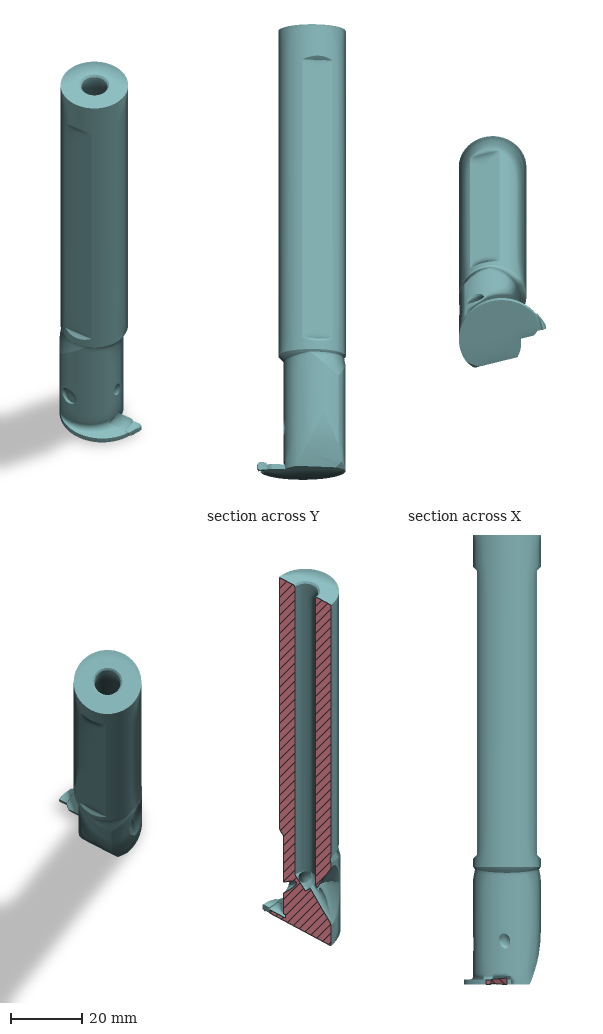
import cadquery as cq
import math

total_height = 127.0
shank_radius = 9.5
shank_bottom = 33.5
shank_chamfer_drop = 0.6
shank_chamfer_inset = 0.5
flat_distance = 8.5
flat_bottom = 37.0
flat_top = 117.0
bore_radius = 3.7
bore_bottom = 19.7
bore_tip = 15.9
bore_chamfer = 0.5

head_bottom = 0.4
head_radius = 12.1
head_center_x = 2.7
neck_radius = 9.5
neck_center_x = -1.5
blade_thickness = 1.5
blade_back = 1.1
blade_back_corner = 1.3
blade_fillet = 0.9

shoulder_top = shank_bottom - shank_chamfer_drop
shoulder_radius = shank_radius - shank_chamfer_inset
shoulder_taper = 0.2
shoulder_step = 1.3

relief_radius = 38.1
relief_start = 15.6
bevel_point = (-8.6, 4.1, head_bottom)
bevel_normal = (-0.7, 0.9, -1.0)

window_z = 19.4
window_y = -1.0
window_radius = 4.6
window_upper_angle = 27.0
window_lower_angle = 23.5
window_drill_overrun = 12.7

window_hole_radius = 1.5
window_hole_entry = (-12.2, 0.6, 7.6)
window_hole_end = (-2.0, -0.8, 19.7)
side_hole_radius = 1.5
side_hole_entry = (8.0, -0.6, 12.7)
side_hole_end = (0.6, -2.0, 19.7)

front_hole_radius = 2.5
front_hole_entry = (-2.7, -9.5, 12.0)
front_hole_direction = (0.2, 1.0, -0.3)
front_hole_depth = 1.9

insert_back_x = 13.1
insert_tip_x = 15.6
insert_length = 4.5
insert_land = 0.9
insert_foot_x = 14.2
insert_top = 2.4
insert_point_x = 14.7
insert_corner = 0.5
insert_relief_angle = 5.0

seat_front_y = -4.0
seat_inner_x = 7.4
seat_drop = 0.1
seat_clearance = 0.9

blade_top = head_bottom + blade_thickness
reach = 50.8


def cylinder_at(x, y, z, radius, height):
    return cq.Workplane("XY", origin=(x, y, z)).circle(radius).extrude(height)


def drilling(start, direction, radius, length):
    return cq.Workplane(cq.Solid.makeCylinder(radius, length, cq.Vector(*start), cq.Vector(*direction)))


def box_between(low, high):
    size = [b - a for a, b in zip(low, high)]
    return cq.Workplane("XY", origin=low).box(*size, centered=False)


def make_shank():
    profile = [
        (0, shoulder_top),
        (shoulder_radius, shoulder_top),
        (shank_radius, shank_bottom),
        (shank_radius, total_height),
        (0, total_height),
    ]
    shank = cq.Workplane("XZ").polyline(profile).close().revolve(360, (0, 0), (0, 1))
    depth = shank_radius - flat_distance
    for side in (-1, 1):
        flat_section = [
            (side * flat_distance, flat_bottom),
            (side * shank_radius, flat_bottom - depth),
            (side * shank_radius, flat_top + depth),
            (side * flat_distance, flat_top),
        ]
        cutter = cq.Workplane("YZ").polyline(flat_section).close().extrude(shank_radius, both=True)
        shank = shank.cut(cutter)
    return shank


def make_blade():
    half_width = head_center_x + head_radius
    disc = cylinder_at(head_center_x, 0, head_bottom, head_radius, blade_thickness)
    back_corner_x = insert_back_x - blade_back_corner
    outline = [
        (-half_width, -half_width),
        (half_width, -half_width),
        (half_width, -insert_length),
        (insert_back_x, -insert_length),
        (insert_back_x, 0),
        (back_corner_x, blade_back),
        (-half_width, blade_back),
    ]
    plan = cq.Workplane("XY").polyline(outline).close().extrude(total_height)
    return disc.intersect(plan)


def make_foot_fillet():
    """Concave ring where the neck meets the blade."""
    outer = neck_radius + blade_fillet
    ring = (
        cq.Workplane("XZ", origin=(neck_center_x, 0, 0))
        .moveTo(0, blade_top)
        .lineTo(outer, blade_top)
        .radiusArc((neck_radius, blade_top + blade_fillet), blade_fillet)
        .lineTo(0, blade_top + blade_fillet)
        .close()
        .revolve(360, (0, 0), (0, 1))
    )
    front = box_between((-reach, -reach, 0), (reach, 0, reach))
    return ring.intersect(front).intersect(cylinder_at(head_center_x, 0, 0, head_radius, reach))


def make_head():
    height = shoulder_top - head_bottom
    head = cylinder_at(head_center_x, 0, head_bottom, head_radius, height)
    head = head.intersect(cylinder_at(neck_center_x, 0, head_bottom, neck_radius, height))
    taper_profile = [
        (0, head_bottom),
        (shoulder_radius + shoulder_taper * height, head_bottom),
        (shoulder_radius, shoulder_top),
        (0, shoulder_top),
    ]
    head = head.intersect(cq.Workplane("XZ").polyline(taper_profile).close().revolve(360, (0, 0), (0, 1)))
    step_profile = [
        (0, shoulder_top - shoulder_step),
        (shoulder_radius - shoulder_step, shoulder_top - shoulder_step),
        (shoulder_radius, shoulder_top),
        (0, shoulder_top),
    ]
    step = cq.Workplane("XZ").polyline(step_profile).close().revolve(360, (0, 0), (0, 1))
    return head.union(step)


def cut_back_relief(head):
    drop = relief_radius - math.sqrt(relief_radius**2 - relief_start**2)
    outer_y = shank_radius + 1.3
    cutter = (
        cq.Workplane("YZ")
        .moveTo(shank_radius, relief_start)
        .radiusArc((shank_radius - drop, 0), relief_radius)
        .lineTo(outer_y, 0)
        .lineTo(outer_y, relief_start)
        .close()
        .extrude(reach, both=True)
    )
    return head.cut(cutter)


def bevel_lower_corner(head):
    plane = cq.Plane(origin=bevel_point, normal=bevel_normal)
    return head.cut(cq.Workplane(plane).rect(reach, reach).extrude(reach))


def cut_window(holder):
    left_x = head_center_x - head_radius
    for side, angle in ((1, window_upper_angle), (-1, window_lower_angle)):
        step_x = -math.sin(math.radians(angle))
        step_z = side * math.cos(math.radians(angle))
        start_x = left_x - window_drill_overrun * step_x
        start_z = window_z - window_drill_overrun * step_z
        slanted = drilling((start_x, window_y, start_z), (step_x, 0, step_z), window_radius, reach)
        low = min(window_z, window_z + side * reach)
        half = box_between((-reach, -reach, low), (reach, reach, low + reach))
        holder = holder.cut(slanted.intersect(half))
    return holder


def cut_bore(holder):
    profile = [
        (0, bore_tip),
        (bore_radius, bore_bottom),
        (bore_radius, total_height - bore_chamfer),
        (bore_radius + bore_chamfer, total_height),
        (0, total_height),
    ]
    return holder.cut(cq.Workplane("XZ").polyline(profile).close().revolve(360, (0, 0), (0, 1)))


def cut_front_hole(holder):
    inward = cq.Vector(*front_hole_direction).normalized()
    start = cq.Vector(*front_hole_entry) - inward * front_hole_depth
    return holder.cut(drilling(start.toTuple(), inward.toTuple(), front_hole_radius, 2 * front_hole_depth))


def cut_coolant_hole(holder, entry, end, radius):
    run = cq.Vector(*end) - cq.Vector(*entry)
    start = cq.Vector(*entry) - run
    return holder.cut(drilling(start.toTuple(), run.toTuple(), radius, 2 * run.Length))


def cut_insert_seat(holder):
    low = (seat_inner_x, seat_front_y, blade_top - seat_drop)
    return holder.cut(box_between(low, (insert_tip_x, blade_back, blade_top + seat_clearance)))


def make_holder():
    head = bevel_lower_corner(cut_back_relief(make_head()))
    holder = make_shank().union(head).union(make_blade()).union(make_foot_fillet())
    holder = cut_bore(holder)
    holder = cut_window(holder)
    holder = cut_coolant_hole(holder, window_hole_entry, window_hole_end, window_hole_radius)
    holder = cut_front_hole(holder)
    holder = cut_coolant_hole(holder, side_hole_entry, side_hole_end, side_hole_radius)
    return cut_insert_seat(holder)


def make_insert():
    plan = [
        (insert_back_x, -insert_length),
        (insert_foot_x, -insert_length),
        (insert_tip_x, -insert_land),
        (insert_tip_x, 0),
        (insert_back_x, 0),
    ]
    inner_x = insert_back_x - insert_length
    front = [
        (inner_x, head_bottom),
        (insert_point_x - insert_corner, head_bottom),
        (insert_point_x, 0),
        (insert_point_x + insert_corner, head_bottom),
        (insert_tip_x, head_bottom),
        (insert_tip_x, insert_top - insert_corner),
        (insert_tip_x - insert_corner, insert_top),
        (inner_x, insert_top),
    ]
    block = cq.Workplane("XY").polyline(plan).close().extrude(insert_top)
    wedge = cq.Workplane("XZ").polyline(front).close().extrude(insert_length, taper=insert_relief_angle)
    return block.intersect(wedge)


insert = make_insert()
holder = make_holder().cut(insert)

result = cq.Compound.makeCompound([holder.val(), insert.val()])